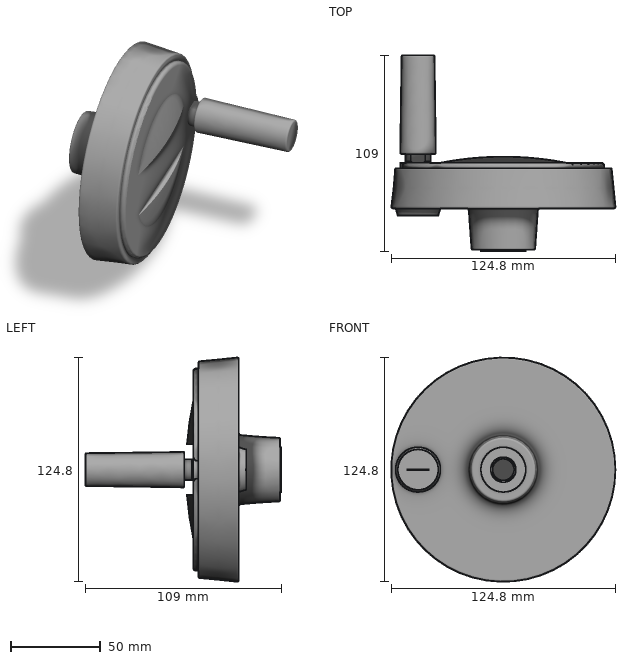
import cadquery as cq


wheel_radius = 62.5
wheel_back_radius = 60.2
wheel_thickness = 22.5
wheel_front_edge_round = 1.1
wheel_back_edge_round = 1.0

cover_radius = 56.2
cover_thickness = 3.0
cover_edge_round = 1.9
cover_face_y = wheel_thickness + cover_thickness

dome_base_radius = 37.8
dome_height = 4.0
dome_slot_width = 27.9

hub_root_radius = 19.3
hub_end_radius = 17.7
hub_length = 23.0
hub_root_round = 1.1
hub_end_round = 1.1
insert_radius = 12.5
insert_protrusion = 0.7
bore_diameter = 12.0
bore_chamfer = 1.0
bore_depth = 34.9
insert_face_y = -hub_length - insert_protrusion

grip_x = -47.4
grip_start_y = 30.3
grip_end_y = 85.3
grip_start_radius = 10.0
grip_end_radius = 9.2
grip_start_round = 0.9
grip_end_round = 1.0
seat_radius = 10.0
stem_radius = 7.1
stem_foot_radius = 6.7
stem_foot_height = 0.9
stem_across_flats = 11.7

boss_root_radius = 12.5
boss_end_radius = 11.2
boss_height = 4.0
screw_diameter = 12.0
screw_slot_width = 0.6
screw_slot_depth = 1.2


def tapered_disc(start_y, end_y, start_radius, end_radius, x=0.0):
    """Solid cone frustum or cylinder about an axis parallel to Y."""
    profile = [(0, start_y), (start_radius, start_y), (end_radius, end_y), (0, end_y)]
    solid = cq.Workplane("XY").polyline(profile).close().revolve(360, (0, 0, 0), (0, 1, 0))
    return solid.translate((x, 0, 0))


def make_wheel():
    wheel = tapered_disc(0, wheel_thickness, wheel_radius, wheel_back_radius)
    wheel = wheel.faces("<Y").edges().fillet(wheel_front_edge_round)
    wheel = wheel.faces(">Y").edges().fillet(wheel_back_edge_round)
    cover = tapered_disc(wheel_thickness, cover_face_y, cover_radius, cover_radius)
    cover = cover.faces(">Y").edges().fillet(cover_edge_round)
    return wheel.union(cover)


def make_dome():
    sphere_radius = (dome_base_radius**2 + dome_height**2) / (2 * dome_height)
    sphere_center_y = cover_face_y + dome_height - sphere_radius
    dome = (
        cq.Workplane("XY")
        .moveTo(0, cover_face_y)
        .lineTo(dome_base_radius, cover_face_y)
        .radiusArc((0, sphere_center_y + sphere_radius), -sphere_radius)
        .close()
        .revolve(360, (0, 0, 0), (0, 1, 0))
    )
    slot = cq.Workplane("XY").box(2 * dome_base_radius, 2 * dome_height, dome_slot_width)
    return dome.cut(slot.translate((0, cover_face_y + dome_height, 0)))


def add_hub(body):
    hub = tapered_disc(-hub_length, 0, hub_end_radius, hub_root_radius)
    hub = hub.faces("<Y").edges().fillet(hub_end_round)
    body = body.union(hub)
    root_edge = cq.selectors.BoxSelector(
        (-hub_root_radius - 1.2, -0.1, -hub_root_radius - 1.2),
        (hub_root_radius + 1.2, 0.1, hub_root_radius + 1.2),
        boundingbox=True,
    )
    body = body.edges(root_edge).fillet(hub_root_round)
    return body.union(tapered_disc(insert_face_y, 0, insert_radius, insert_radius))


def make_bore():
    bore_radius = bore_diameter / 2
    bore = tapered_disc(insert_face_y, insert_face_y + bore_depth, bore_radius, bore_radius)
    mouth = tapered_disc(insert_face_y, insert_face_y + bore_chamfer, bore_radius + bore_chamfer, bore_radius)
    return bore.union(mouth)


def make_grip():
    grip = tapered_disc(grip_start_y, grip_end_y, grip_start_radius, grip_end_radius, grip_x)
    grip = grip.faces("<Y").edges().fillet(grip_start_round)
    return grip.faces(">Y").edges().fillet(grip_end_round)


def make_stem():
    foot_top_y = cover_face_y + stem_foot_height
    foot = tapered_disc(cover_face_y, foot_top_y, stem_foot_radius, stem_radius, grip_x)
    shank = tapered_disc(foot_top_y, grip_start_y, stem_radius, stem_radius, grip_x)
    flats = cq.Workplane("XY").box(2 * stem_radius, 2 * grip_start_y, stem_across_flats)
    stem = foot.union(shank).intersect(flats.translate((grip_x, grip_start_y, 0)))
    seat = tapered_disc(wheel_thickness, cover_face_y, seat_radius, seat_radius, grip_x)
    return seat.union(stem)


def make_boss():
    boss = tapered_disc(-boss_height, 0, boss_end_radius, boss_root_radius, grip_x)
    slot_floor_y = screw_slot_depth - boss_height
    screw_radius = screw_diameter / 2
    slot = tapered_disc(-boss_height, slot_floor_y, screw_radius, screw_radius, grip_x)
    strip = cq.Workplane("XY").box(screw_diameter, 2 * boss_height, screw_slot_width)
    return boss.cut(slot.intersect(strip.translate((grip_x, -boss_height, 0))))


result = add_hub(make_wheel())
for feature in (make_dome(), make_stem(), make_grip(), make_boss()):
    result = result.union(feature)
result = result.cut(make_bore())